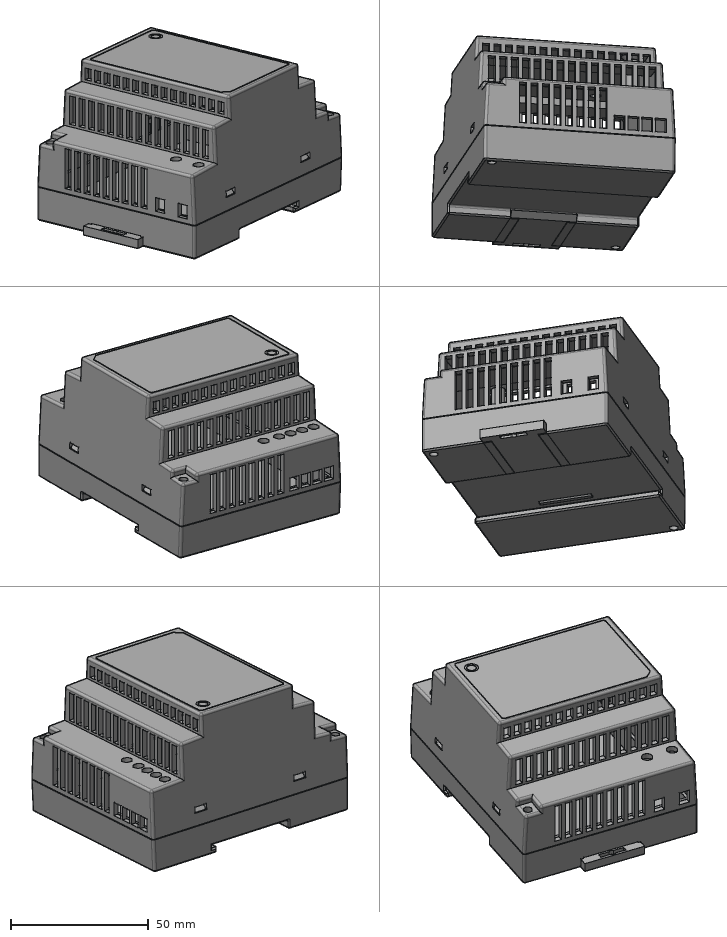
import cadquery as cq
import math


WIDTH = 71.0
DEPTH = 91.0
HEIGHT = 55.6
HALF_WIDTH = WIDTH / 2
HALF_DEPTH = DEPTH / 2
DRAFT = math.tan(math.radians(3))
WALL = 2.0
EDGE_RADIUS = 1.0
TOLERANCE = 0.01
BASE_TOP = 12.9
SEAM_GAP = 0.3
COVER_BOTTOM = BASE_TOP + SEAM_GAP

TOP_HALF = 21.5
MID_HALF = 31.15
MID_Z = 47.1
LOW_Z = 32.85

SCREW_X = 32.0
SCREW_Y = 42.0
SCREW_CORNERS = [(-1, -1), (1, 1)]
SCREW_DIAMETER = 3.2
BOSS_RADIUS = 4.0
RECESS_INNER_X = 28.6
RECESS_INNER_Y = 38.5
RECESS_FLOOR_Z = 29.6
RECESS_RISE = (HALF_DEPTH - RECESS_INNER_Y) * DRAFT

SLOT_WIDTH = 2.6
SLOT_PITCH = 4.26
FIRST_SLOT_X = -29.95
SLOT_COLUMNS = 15
TOP_ROW = (48.15, 52.65)
MID_ROW = (33.8, 44.7)
SLOT_OVERCUT = 0.5
LOW_ROW = (15.0, 30.4)
FRONT_LOW_COLUMNS = range(2, 11)
REAR_LOW_COLUMNS = range(5, 13)

WIRE_WIDTH = 4.0
WIRE_ROW = (15.0, 20.2)
TERMINAL_DIAMETER = 4.0
TERMINAL_Y = 35.6
TERMINAL_PITCH = 5.08
FRONT_TERMINALS = [19.85, 30.0]
REAR_TERMINALS = [-29.95 + i * TERMINAL_PITCH for i in range(4)]
ADJUSTER_X = -7.9
ADJUSTER_DIAMETER = 3.95

LABEL_HALF_X = 30.7
LABEL_HALF_Y = 19.55
LABEL_CUT_CORNER = 2.7
LABEL_RADIUS = 1.0
LABEL_DEPTH = 0.2
PIPE_X = -26.0
PIPE_Y = 14.7
PIPE_DIAMETER = 5.0
PIPE_BOTTOM = 36.6
PIPE_TOP = HEIGHT - LABEL_DEPTH
LENS_DIAMETER = 3.5
LENS_DEPTH = 0.2
COLLAR_BOTTOM = 52.0
COLLAR_RIM = 0.05

WINDOW_Y = 23.0
WINDOW_LENGTH = 5.4
WINDOW_BOTTOM = 18.15
WINDOW_TOP = 20.5
TAB_CLEARANCE = 0.25
TAB_THICKNESS = 0.8
TAB_REACH = 35.1
LIP_HEIGHT = 1.9
LIP_THICKNESS = 1.2
LIP_CLEARANCE = 0.15

BASE_CHAMFER = 0.6
NOTCH_CHAMFER = 0.6
NOTCH_CEILING = 3.5
NOTCH_REAR = 17.85
NOTCH_FRONT = -17.65
HOOK_TIP = 15.7
HOOK_TOP = 2.1
NOTCH_CORNER_RADIUS = 0.8
FLOOR_Z = 6.0
RIB_Y = 14.1
RIB_LENGTH = 20.0
RIB_TOP_WIDTH = 2.4
RIB_BOTTOM_WIDTH = 1.5
RIB_HEIGHT = 0.6

CLIP_WIDTH = 24.4
CLIP_BOTTOM = 0.26
CLIP_TOP = 3.7
CLIP_FRONT = -48.67
CLIP_TIP = -15.7
CLIP_NOSE_TOP = 2.45
CLIP_OPENING_WIDTH = 17.8
CLIP_RELIEF_WIDTH = 22.0
CLIP_RELIEF = 0.35
PRY_LENGTH = 10.1
PRY_WIDTH = 1.75
PRY_Y = -46.78
PRY_HOLE = 2.5


def box(x0, x1, y0, y1, z0, z1):
    return cq.Workplane("XY").box(x1 - x0, y1 - y0, z1 - z0, centered=False).translate((x0, y0, z0))


def span(center, size):
    return center - size / 2, center + size / 2


def pillar(x, y, diameter, z0, z1):
    return cq.Workplane("XY", origin=(x, y, z0)).circle(diameter / 2).extrude(z1 - z0)


def along_x(points, length, center=0):
    """A (Y, Z) outline extruded along X."""
    outline = cq.Workplane("YZ", origin=(center - length / 2, 0, 0)).polyline(points).close()
    return outline.extrude(length)


def along_y(points, length, center=0):
    """An (X, Z) outline extruded along Y."""
    outline = cq.Workplane("XZ", origin=(0, center + length / 2, 0)).polyline(points).close()
    return outline.extrude(length)


def stepped_block(inset):
    """The stepped, drafted cover shape, with every face moved inwards by the inset."""
    bottom = COVER_BOTTOM
    top_y = TOP_HALF - inset
    mid_y = MID_HALF - inset
    low_y = HALF_DEPTH - inset
    half = [
        (low_y, bottom),
        (low_y, LOW_Z - inset - (low_y - mid_y) * DRAFT),
        (mid_y, LOW_Z - inset),
        (mid_y, MID_Z - inset - (mid_y - top_y) * DRAFT),
        (top_y, MID_Z - inset),
        (top_y, HEIGHT - inset),
    ]
    profile = half + [(-y, z) for y, z in reversed(half)]
    bottom_x = HALF_WIDTH - inset
    top_x = bottom_x - (HEIGHT - bottom) * DRAFT
    section = [(-bottom_x, bottom), (bottom_x, bottom), (top_x, HEIGHT), (-top_x, HEIGHT)]
    return along_x(profile, WIDTH).intersect(along_y(section, DEPTH))


def corner_recess(side_x, side_y):
    points = [
        (side_y * HALF_DEPTH, RECESS_FLOOR_Z),
        (side_y * RECESS_INNER_Y, RECESS_FLOOR_Z + RECESS_RISE),
        (side_y * RECESS_INNER_Y, HEIGHT),
        (side_y * HALF_DEPTH, HEIGHT),
    ]
    length = HALF_WIDTH - RECESS_INNER_X
    return along_x(points, length, side_x * (RECESS_INNER_X + length / 2))


def near(a, b):
    return abs(a - b) < TOLERANCE


def is_outer_edge(edge):
    """True for the convex edges of the blank that carry the edge radius."""
    center = edge.Center()
    y = abs(center.y)
    z = center.z
    on_bottom = near(z, COVER_BOTTOM)
    in_mid_corner = near(y, TOP_HALF) and near(z, MID_Z)
    in_low_corner = near(y, MID_HALF) and near(z, LOW_Z)
    on_recess_x = near(abs(center.x), RECESS_INNER_X)
    on_recess_y = near(y, RECESS_INNER_Y)
    on_recess_floor = z < RECESS_FLOOR_Z + RECESS_RISE + TOLERANCE
    in_recess_corner = on_recess_x and on_recess_y
    along_recess_floor = (on_recess_x or on_recess_y) and on_recess_floor
    concave = in_mid_corner or in_low_corner or in_recess_corner or along_recess_floor
    return not (on_bottom or concave)


def cover_blank():
    block = stepped_block(0)
    for side_x, side_y in SCREW_CORNERS:
        block = block.cut(corner_recess(side_x, side_y))
    outer_edges = [edge for edge in block.edges().vals() if is_outer_edge(edge)]
    return block.newObject(outer_edges).fillet(EDGE_RADIUS)


def slots(columns, row, y0, y1):
    cutter = cq.Workplane("XY")
    for column in columns:
        cutter = cutter.add(box(*span(FIRST_SLOT_X + column * SLOT_PITCH, SLOT_WIDTH), y0, y1, *row))
    return cutter.combine()


def cut_ventilation(body):
    all_columns = range(SLOT_COLUMNS)
    reach = WALL + SLOT_OVERCUT
    for row, outer_y in ((TOP_ROW, TOP_HALF), (MID_ROW, MID_HALF)):
        body = body.cut(slots(all_columns, row, outer_y - reach, outer_y))
        body = body.cut(slots(all_columns, row, -outer_y, reach - outer_y))
    body = body.cut(slots(FRONT_LOW_COLUMNS, LOW_ROW, -HALF_DEPTH, reach - HALF_DEPTH))
    return body.cut(slots(REAR_LOW_COLUMNS, LOW_ROW, HALF_DEPTH - reach, HALF_DEPTH))


def cut_terminals(body):
    for side, positions in ((-1, FRONT_TERMINALS), (1, REAR_TERMINALS)):
        wall_y = sorted((side * (HALF_DEPTH - WALL), side * HALF_DEPTH))
        for x in positions:
            body = body.cut(pillar(x, side * TERMINAL_Y, TERMINAL_DIAMETER, LOW_ROW[1] - WALL, LOW_Z))
            body = body.cut(box(*span(x, WIRE_WIDTH), *wall_y, *WIRE_ROW))
    return body.cut(pillar(ADJUSTER_X, TERMINAL_Y, ADJUSTER_DIAMETER, LOW_ROW[1] - WALL, LOW_Z))


def label_recess():
    x = LABEL_HALF_X
    y = LABEL_HALF_Y
    points = [
        (-x, -y),
        (x - LABEL_CUT_CORNER, -y),
        (x, LABEL_CUT_CORNER - y),
        (x, y),
        (-x, y),
    ]
    plate = cq.Workplane("XY", origin=(0, 0, HEIGHT - LABEL_DEPTH)).polyline(points).close()
    plate = plate.extrude(LABEL_DEPTH)
    return plate.edges("|Z and (<X or >Y)").fillet(LABEL_RADIUS)


def pipe_collar():
    """Cone under the roof that narrows down to the light pipe."""
    roof = HEIGHT - WALL
    height = roof - COLLAR_BOTTOM
    radius = PIPE_DIAMETER / 2
    profile = [(0, COLLAR_BOTTOM), (radius + COLLAR_RIM, COLLAR_BOTTOM), (radius + height, roof), (0, roof)]
    cone = cq.Workplane("XZ").polyline(profile).close().revolve(360, (0, 0, 0), (0, 1, 0))
    return cone.translate((PIPE_X, PIPE_Y, 0))


def make_cover():
    outside = cover_blank()
    body = outside.cut(stepped_block(WALL))
    for side_x, side_y in SCREW_CORNERS:
        x_range = sorted((side_x * (RECESS_INNER_X - WALL), side_x * HALF_WIDTH))
        y_range = sorted((side_y * (RECESS_INNER_Y - WALL), side_y * HALF_DEPTH))
        shroud = box(*x_range, *y_range, RECESS_FLOOR_Z - WALL, LOW_Z)
        boss = pillar(
            side_x * SCREW_X, side_y * SCREW_Y, 2 * BOSS_RADIUS, COVER_BOTTOM, RECESS_FLOOR_Z
        )
        body = body.union(shroud.union(boss).intersect(outside))
    body = body.union(pipe_collar())
    body = cut_ventilation(body)
    body = cut_terminals(body)
    for side_x, side_y in SCREW_CORNERS:
        body = body.cut(pillar(side_x * SCREW_X, side_y * SCREW_Y, SCREW_DIAMETER, 0, HEIGHT))
    for y in (-WINDOW_Y, WINDOW_Y):
        body = body.cut(
            box(-HALF_WIDTH, HALF_WIDTH, *span(y, WINDOW_LENGTH), WINDOW_BOTTOM, WINDOW_TOP)
        )
    body = body.cut(label_recess())
    return body.cut(pillar(PIPE_X, PIPE_Y, PIPE_DIAMETER, PIPE_BOTTOM, HEIGHT))


def notch_outline(plane, grow):
    """The rail notch, undercut behind the hook, with walls moved outwards by grow and a chamfered mouth."""
    front = NOTCH_FRONT - grow
    ceiling = NOTCH_CEILING + grow
    rear = NOTCH_REAR + grow
    tip = HOOK_TIP + grow
    radius = NOTCH_CORNER_RADIUS
    return (
        plane.moveTo(front - BASE_CHAMFER, 0)
        .lineTo(front, BASE_CHAMFER)
        .lineTo(front, ceiling - radius)
        .radiusArc((front + radius, ceiling), radius)
        .lineTo(rear, ceiling)
        .lineTo(rear, HOOK_TOP - grow)
        .lineTo(tip, HOOK_TOP - grow)
        .lineTo(tip, BASE_CHAMFER)
        .lineTo(tip + BASE_CHAMFER, 0)
        .close()
    )


def rail_notch():
    notch = notch_outline(cq.Workplane("YZ", origin=(-HALF_WIDTH, 0, 0)), 0).extrude(WIDTH)
    for side in (-1, 1):
        rim = cq.Workplane("YZ", origin=(side * HALF_WIDTH, 0, 0))
        rim = notch_outline(rim, NOTCH_CHAMFER).workplane(offset=-side * NOTCH_CHAMFER)
        notch = notch.union(notch_outline(rim, 0).loft(ruled=True))
    return notch


def base_block():
    rear_bottom = HALF_DEPTH - BASE_TOP * DRAFT
    profile = [
        (-HALF_DEPTH, 0),
        (rear_bottom, 0),
        (HALF_DEPTH, BASE_TOP),
        (-HALF_DEPTH, BASE_TOP),
    ]
    block = along_x(profile, WIDTH)
    block = block.edges("not (|X or |Y)").fillet(EDGE_RADIUS)
    return block.faces("<Z").edges().chamfer(BASE_CHAMFER)


def lip_ring():
    outer_x = HALF_WIDTH - WALL - LIP_CLEARANCE
    outer_y = HALF_DEPTH - WALL - LIP_CLEARANCE
    top = BASE_TOP + LIP_HEIGHT
    ring = box(-outer_x, outer_x, -outer_y, outer_y, BASE_TOP - WALL, top)
    inner_x = outer_x - LIP_THICKNESS
    inner_y = outer_y - LIP_THICKNESS
    return ring.cut(box(-inner_x, inner_x, -inner_y, inner_y, BASE_TOP - WALL, top))


def snap_tab(side_x, y):
    """Plate inside the cover wall with a wedge that rises into the snap window."""
    outer_x = HALF_WIDTH - WALL - (WINDOW_TOP - COVER_BOTTOM) * DRAFT - LIP_CLEARANCE
    inner_x = outer_x - TAB_THICKNESS
    wedge_bottom = WINDOW_BOTTOM + TAB_CLEARANCE
    points = [
        (inner_x, BASE_TOP - WALL),
        (outer_x, BASE_TOP - WALL),
        (outer_x, wedge_bottom),
        (TAB_REACH, wedge_bottom),
        (outer_x, WINDOW_TOP),
        (inner_x, WINDOW_TOP),
    ]
    points = [(side_x * x, z) for x, z in points]
    return along_y(points, WINDOW_LENGTH - 2 * TAB_CLEARANCE, y)


def rail_rib():
    half_top = RIB_TOP_WIDTH / 2
    half_bottom = RIB_BOTTOM_WIDTH / 2
    points = [
        (RIB_Y - half_top, NOTCH_CEILING),
        (RIB_Y + half_top, NOTCH_CEILING),
        (RIB_Y + half_bottom, NOTCH_CEILING - RIB_HEIGHT),
        (RIB_Y - half_bottom, NOTCH_CEILING - RIB_HEIGHT),
    ]
    return along_x(points, RIB_LENGTH)


def cut_clip_channel(body):
    y_range = (-HALF_DEPTH, NOTCH_FRONT)
    relief_top = CLIP_TOP + CLIP_RELIEF
    body = body.cut(box(*span(0, CLIP_WIDTH), *y_range, CLIP_BOTTOM, CLIP_TOP))
    body = body.cut(box(*span(0, CLIP_RELIEF_WIDTH), *y_range, CLIP_TOP, relief_top))
    return body.cut(box(*span(0, CLIP_OPENING_WIDTH), *y_range, 0, CLIP_BOTTOM))


def make_base():
    outside = base_block()
    inner_x = HALF_WIDTH - WALL - LIP_CLEARANCE - LIP_THICKNESS
    inner_y = HALF_DEPTH - WALL - LIP_CLEARANCE - LIP_THICKNESS
    body = outside.cut(box(-inner_x, inner_x, -inner_y, inner_y, FLOOR_Z, BASE_TOP))
    lip = lip_ring()
    for side_x, side_y in SCREW_CORNERS:
        x = side_x * SCREW_X
        y = side_y * SCREW_Y
        boss_clearance = 2 * (BOSS_RADIUS + LIP_CLEARANCE)
        lip = lip.cut(pillar(x, y, boss_clearance, BASE_TOP, BASE_TOP + LIP_HEIGHT))
        boss = pillar(x, y, 2 * BOSS_RADIUS, BASE_CHAMFER, BASE_TOP)
        body = body.union(boss.intersect(outside))
    body = body.union(lip)
    for side_x in (-1, 1):
        for y in (-WINDOW_Y, WINDOW_Y):
            body = body.union(snap_tab(side_x, y))
    body = body.cut(rail_notch())
    body = cut_clip_channel(body)
    for side_x, side_y in SCREW_CORNERS:
        body = body.cut(pillar(side_x * SCREW_X, side_y * SCREW_Y, SCREW_DIAMETER, 0, BASE_TOP))
    return body.union(rail_rib())


def make_clip():
    nose_run = CLIP_NOSE_TOP - CLIP_BOTTOM
    profile = [
        (CLIP_FRONT, CLIP_BOTTOM),
        (CLIP_TIP - nose_run, CLIP_BOTTOM),
        (CLIP_TIP, CLIP_NOSE_TOP),
        (NOTCH_FRONT, CLIP_NOSE_TOP),
        (NOTCH_FRONT, CLIP_TOP),
        (CLIP_FRONT, CLIP_TOP),
    ]
    body = along_x(profile, CLIP_WIDTH)
    body = body.cut(box(*span(0, PRY_LENGTH), *span(PRY_Y, PRY_WIDTH), CLIP_BOTTOM, CLIP_TOP))
    return body.cut(pillar(0, PRY_Y, PRY_HOLE, CLIP_BOTTOM, CLIP_TOP))


def make_light_pipe():
    rod = pillar(PIPE_X, PIPE_Y, PIPE_DIAMETER, PIPE_BOTTOM, PIPE_TOP)
    return rod.cut(pillar(PIPE_X, PIPE_Y, LENS_DIAMETER, PIPE_TOP - LENS_DEPTH, PIPE_TOP))


cover = make_cover()
base = make_base()
clip = make_clip()
light_pipe = make_light_pipe()
bodies = [cover, base, clip, light_pipe]
result = cq.Compound.makeCompound([body.solids().val() for body in bodies])